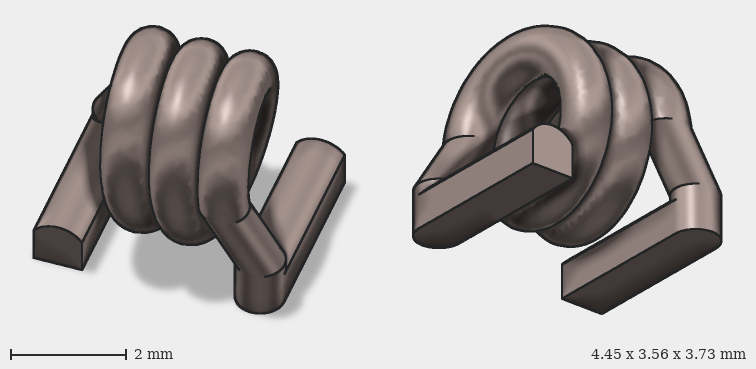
import cadquery as cq

wire_diameter = 0.89
wire_radius = wire_diameter / 2
coil_radius = 1.335
turns = 2.5
pitch = 0.895
coil_length = turns * pitch
coil_axis_height = 1.95

overall_length = 4.45
foot_offset = overall_length / 2 - wire_radius
foot_height = 0.89
foot_side_height = 0.668
foot_far_end = coil_radius + wire_radius


def make_coil():
    """Helix from the back (+Y) at the -X end to the front (-Y) at the +X end."""
    path = cq.Workplane(cq.Wire.makeHelix(pitch, coil_length, coil_radius))
    coil = (
        cq.Workplane("XZ")
        .center(coil_radius, 0)
        .circle(wire_radius)
        .sweep(path, isFrenet=True)
    )
    lying = coil.val().moved(cq.Plane.named("YZ").location)
    return cq.Workplane(lying).translate((-coil_length / 2, 0, coil_axis_height))


def make_lead():
    """Slanted wire, upright post and foot at the -X end."""
    slant = (
        cq.Workplane("XY")
        .workplane(offset=foot_height)
        .center(-foot_offset, coil_radius)
        .circle(wire_radius)
        .workplane(offset=coil_axis_height - foot_height)
        .center(foot_offset - coil_length / 2, 0)
        .circle(wire_radius)
        .loft(ruled=True)
    )
    post = (
        cq.Workplane("XY")
        .center(-foot_offset, coil_radius)
        .circle(wire_radius)
        .extrude(foot_height)
    )
    foot = (
        cq.Workplane("XZ", origin=(-foot_offset, coil_radius, 0))
        .moveTo(-wire_radius, 0)
        .lineTo(wire_radius, 0)
        .lineTo(wire_radius, foot_side_height)
        .threePointArc((0, foot_height), (-wire_radius, foot_side_height))
        .close()
        .extrude(coil_radius + foot_far_end)
    )
    return post.union(foot).union(slant)


lead = make_lead()
opposite_lead = lead.rotate((0, 0, 0), (0, 0, 1), 180)
result = make_coil().union(lead).union(opposite_lead)